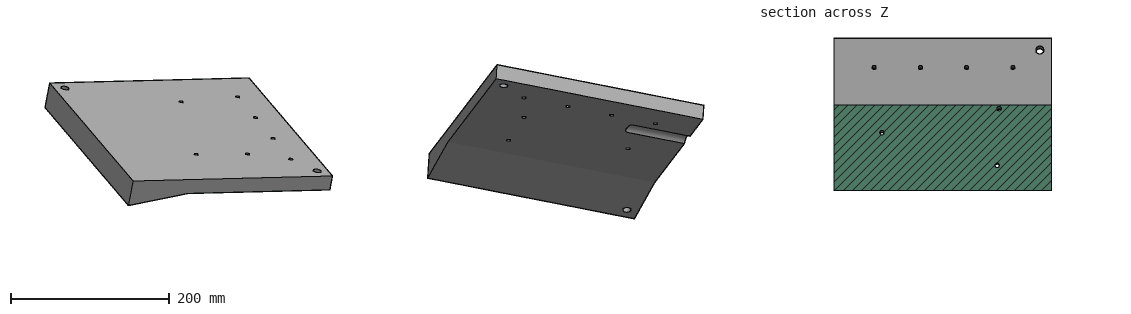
import cadquery as cq
import math

WIDTH = 275.0
DEPTH = 278.8
HEIGHT = 70.5

TILT = 10.6
FRONT_THICKNESS = 34.8
SIN_TILT = math.sin(math.radians(TILT))
COS_TILT = math.cos(math.radians(TILT))
LENGTH = (DEPTH - FRONT_THICKNESS * SIN_TILT) / COS_TILT
THICKNESS = (HEIGHT - LENGTH * SIN_TILT) / COS_TILT
FOOT_RUN = (FRONT_THICKNESS - THICKNESS) * COS_TILT / SIN_TILT

MOUNT_DIAMETER = 10.0
MOUNT_INSET = 15.0

PIN_DIAMETER = 5.0
ROW_COUNT = 4
ROW_PITCH = 58.3
ROW_START = 51.0
ROW_FROM_BACK = 37.4
LOOSE_PINS = [(208.5, 90.0), (60.8, 120.0), (206.0, 160.3)]

GROOVE_LENGTH = 80.0
GROOVE_WIDTH = 23.0
GROOVE_DEPTH = 6.7
GROOVE_FROM_BACK = 64.0
GROOVE_END_FILLET = 5.0
GROOVE_RADIUS = ((GROOVE_WIDTH / 2) ** 2 + GROOVE_DEPTH ** 2) / (2 * GROOVE_DEPTH)


def make_plate():
    """Untilted plate: front end at y = 0, top face at z = 0."""
    outline = [
        (0, 0),
        (LENGTH, 0),
        (LENGTH, -THICKNESS),
        (FOOT_RUN, -THICKNESS),
        (0, -FRONT_THICKNESS),
    ]
    return cq.Workplane("YZ").polyline(outline).close().extrude(WIDTH)


def make_drills(points, diameter):
    """Cylinders square to the top face, long enough to pass through the plate."""
    return cq.Workplane("XY").pushPoints(points).circle(diameter / 2).extrude(-FRONT_THICKNESS)


def make_groove():
    """Cylinder along X, partly sunk into the underside, with a rounded inner end."""
    axis_y = LENGTH - GROOVE_FROM_BACK
    axis_z = -THICKNESS + GROOVE_DEPTH - GROOVE_RADIUS
    return (
        cq.Workplane("YZ")
        .center(axis_y, axis_z)
        .circle(GROOVE_RADIUS)
        .extrude(GROOVE_LENGTH)
        .faces(">X")
        .edges()
        .fillet(GROOVE_END_FILLET)
    )


mount_points = [
    (MOUNT_INSET, MOUNT_INSET),
    (WIDTH - MOUNT_INSET, LENGTH - MOUNT_INSET),
]
pin_points = [(ROW_START + i * ROW_PITCH, LENGTH - ROW_FROM_BACK) for i in range(ROW_COUNT)]
pin_points += [(x, LENGTH - from_back) for x, from_back in LOOSE_PINS]

plate = (
    make_plate()
    .cut(make_drills(mount_points, MOUNT_DIAMETER))
    .cut(make_drills(pin_points, PIN_DIAMETER))
    .cut(make_groove())
)

result = plate.rotate((0, 0, 0), (1, 0, 0), -TILT)